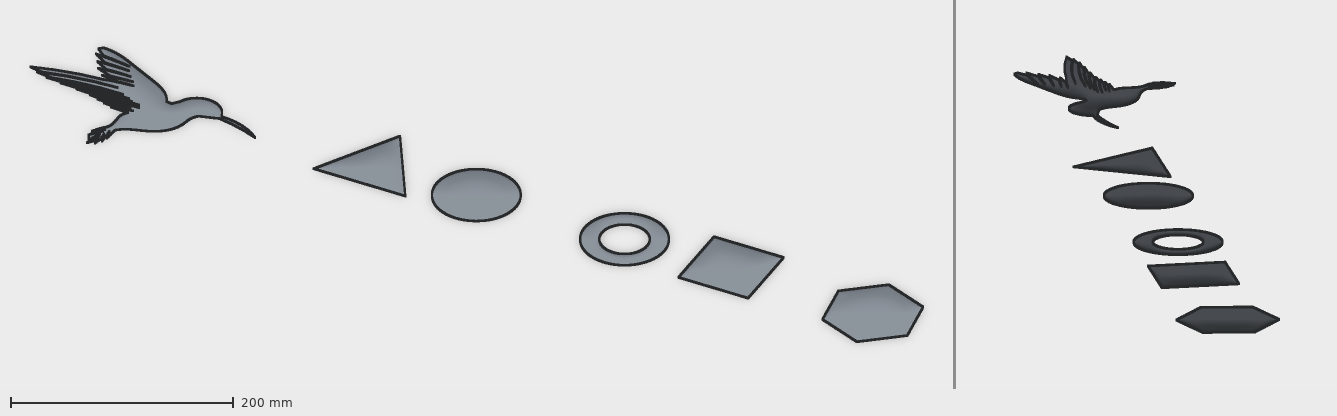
import cadquery as cq
import math


row_length = 890.0
sheet_thickness = 0.6

shape_height = 80.0
hexagon_flats = 80.0
ring_hole_diameter = 45.0
square_side = 70.0

row_center_y = 87.0
base_line_y = 57.0

triangle_center_x = 345.0
disc_center_x = 447.0
ring_center_x = 597.0
square_center_x = 702.0
hexagon_sides = 6
hexagon_step = 360 / hexagon_sides
hexagon_turn = 39.0

upper_wing_tip = (45.0, 137.0)
upper_wing_edge = [(60.5, 134.5), (85.0, 124.0), (106.0, 113.0), (125.0, 101.5), (134.0, 89.0)]
nape = (139.0, 88.0)
neck = (144.0, 94.0)
head_crown = (165.0, 109.0)
beak_root_top = (188.0, 91.0)
beak_mid_top = (209.0, 87.0)
beak_tip = (230.0, 76.0)
beak_mid_bottom = (209.0, 83.0)
beak_root_bottom = (188.0, 87.0)
throat = (169.0, 82.0)
belly_edge = [(164.0, 72.0), (162.0, 63.0), (154.0, 50.0), (140.0, 41.0), (125.5, 36.5), (112.0, 28.5)]
rump_edge = [(106.0, 37.0), (106.0, 48.0), (110.0, 58.0)]

tail_feathers = [
    ((111.0, 14.0), (109.0, 25.0)),
    ((109.5, 8.0), (106.0, 20.0)),
    ((105.0, 3.0), (103.0, 16.0)),
    ((99.0, 0.0), (102.0, 18.0)),
    ((94.0, 12.0), (103.0, 22.0)),
    ((94.0, 19.0), (104.0, 25.0)),
]
tail_base = (101.5, 28.0)
lower_wing_feathers = [
    ((93.0, 59.0), (113.0, 62.0)),
    ((85.0, 61.0), (109.5, 65.0)),
    ((77.0, 64.0), (116.0, 69.5)),
    ((68.0, 67.0), (114.0, 73.0)),
    ((52.5, 69.5), (106.0, 75.0)),
    ((36.0, 71.0), (101.5, 77.5)),
    ((20.5, 73.0), (93.5, 81.0)),
    ((9.0, 77.0), (85.0, 88.0)),
]
longest_feather_tip = (0.0, 81.0)
longest_feather_shoulder = (68.0, 93.5)
upper_wing_feathers = [
    ((71.0, 94.0), (96.0, 97.0)),
    ((63.0, 99.0), (93.0, 102.0)),
    ((55.0, 107.0), (87.0, 109.0)),
    ((50.0, 116.0), (82.0, 116.0)),
    ((44.0, 125.5), (79.0, 122.0)),
]
upper_wing_corner = (42.0, 134.0)

slit_mouth = 1.3
tail_tip_length = 4.0
lower_wing_tip_length = 4.0
upper_wing_tip_length = 7.0

lower_wing_bow = 0.03
other_bow = 0.01


def bow_to(outline, start, end, bow):
    """Draw an arc from start to end, bowed towards +Y by bow times its length."""
    rise = bow * math.dist(start, end)
    middle_x = (start[0] + end[0]) / 2
    middle_y = (start[1] + end[1]) / 2
    return outline.threePointArc((middle_x, middle_y + rise), end)


def slit_mouth_corner(tip, notch, tip_length):
    """Corner across the slit from the feather edge, tip_length inward from the tip."""
    length = math.dist(tip, notch)
    along_x = (notch[0] - tip[0]) / length
    along_y = (notch[1] - tip[1]) / length
    return (
        tip[0] + tip_length * along_x - slit_mouth * along_y,
        tip[1] + tip_length * along_y + slit_mouth * along_x,
    )


def add_feathers(outline, feathers, tip_length, bow):
    """Run out to each feather tip, in along its edge and back out along the slit."""
    for tip, notch in feathers:
        mouth_corner = slit_mouth_corner(tip, notch, tip_length)
        outline = outline.lineTo(*tip)
        outline = bow_to(outline, tip, notch, bow)
        outline = bow_to(outline, notch, mouth_corner, bow)
    return outline


def make_hummingbird():
    outline = cq.Workplane("XY").moveTo(*upper_wing_tip)
    outline = outline.spline(upper_wing_edge, includeCurrent=True)
    outline = outline.lineTo(*nape)
    outline = outline.lineTo(*neck)
    outline = outline.threePointArc(head_crown, beak_root_top)
    outline = outline.threePointArc(beak_mid_top, beak_tip)
    outline = outline.threePointArc(beak_mid_bottom, beak_root_bottom)
    outline = outline.lineTo(*throat)
    outline = outline.spline(belly_edge, includeCurrent=True)
    outline = add_feathers(outline, tail_feathers, tail_tip_length, other_bow)
    outline = outline.lineTo(*tail_base)
    outline = outline.spline(rump_edge, includeCurrent=True)
    outline = add_feathers(outline, lower_wing_feathers, lower_wing_tip_length, lower_wing_bow)
    outline = outline.lineTo(*longest_feather_tip)
    outline = bow_to(outline, longest_feather_tip, longest_feather_shoulder, lower_wing_bow)
    outline = add_feathers(outline, upper_wing_feathers, upper_wing_tip_length, other_bow)
    outline = outline.lineTo(*upper_wing_corner)
    return outline.close().extrude(sheet_thickness)


def make_triangle():
    """Equilateral triangle with a level base."""
    half_base = shape_height / math.sqrt(3)
    corners = [
        (triangle_center_x - half_base, base_line_y),
        (triangle_center_x + half_base, base_line_y),
        (triangle_center_x, base_line_y + shape_height),
    ]
    return cq.Workplane("XY").polyline(corners).close().extrude(sheet_thickness)


def make_disc():
    center = cq.Workplane("XY").center(disc_center_x, row_center_y)
    return center.circle(shape_height / 2).extrude(sheet_thickness)


def make_ring():
    center = cq.Workplane("XY").center(ring_center_x, row_center_y)
    return center.circle(shape_height / 2).circle(ring_hole_diameter / 2).extrude(sheet_thickness)


def make_square():
    center = cq.Workplane("XY").center(square_center_x, base_line_y + square_side / 2)
    return center.rect(square_side, square_side).extrude(sheet_thickness)


def make_hexagon():
    """Turned hexagon whose rightmost vertex ends the row."""
    vertex_radius = hexagon_flats / math.sqrt(3)
    rightmost_angle = math.radians(hexagon_turn - hexagon_step)
    center_x = row_length - vertex_radius * math.cos(rightmost_angle)
    hexagon = cq.Workplane("XY").polygon(hexagon_sides, 2 * vertex_radius)
    hexagon = hexagon.extrude(sheet_thickness)
    hexagon = hexagon.rotate((0, 0, 0), (0, 0, 1), hexagon_turn)
    return hexagon.translate((center_x, row_center_y, 0))


hummingbird = make_hummingbird()
triangle = make_triangle()
disc = make_disc()
ring = make_ring()
square = make_square()
hexagon = make_hexagon()

result = cq.Compound.makeCompound([
    hummingbird.val(),
    triangle.val(),
    disc.val(),
    ring.val(),
    square.val(),
    hexagon.val(),
])